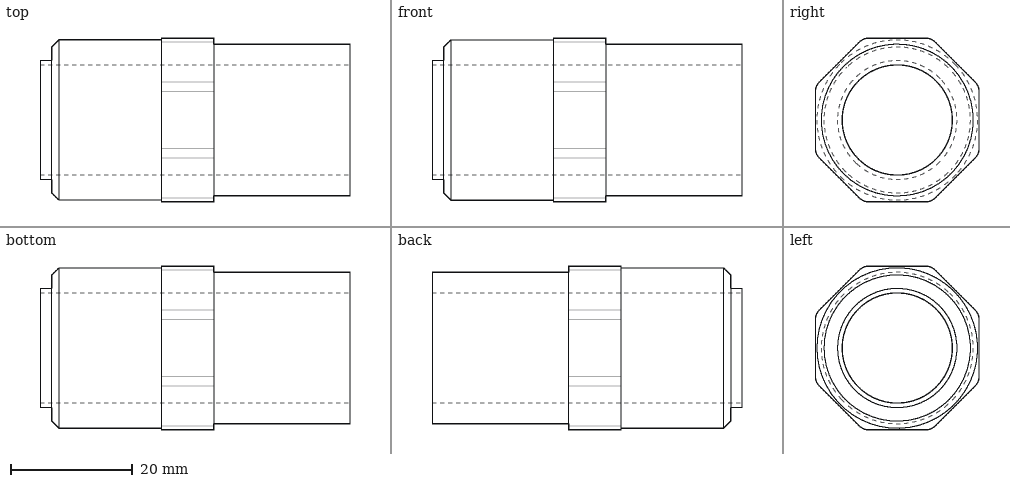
import cadquery as cq
import math

total_length = 51.0
lip_length = 1.9
body_length = 18.05
collar_length = 8.6
collar_start = lip_length + body_length
collar_end = collar_start + collar_length

bore_diameter = 18.1
lip_diameter = 19.65
body_diameter = 26.4
spigot_diameter = 25.0

collar_sides = 8
collar_across_flats = 27.0
collar_corner_radius = 2.15

body_chamfer = 1.15


def cylinder(diameter, start, end):
    """Solid cylinder on the X axis between two stations."""
    return cq.Workplane("YZ", origin=(start, 0, 0)).circle(diameter / 2).extrude(end - start)


def wrench_collar():
    """Octagonal prism with flats facing Y and Z and rounded corners."""
    half_corner_angle = math.pi / collar_sides
    across_corners = collar_across_flats / math.cos(half_corner_angle)
    return (
        cq.Workplane("YZ", origin=(collar_start, 0, 0))
        .transformed(rotate=(0, 0, math.degrees(half_corner_angle)))
        .polygon(collar_sides, across_corners)
        .extrude(collar_length)
        .edges("|X")
        .fillet(collar_corner_radius)
    )


lip = cylinder(lip_diameter, 0, lip_length)
body = cylinder(body_diameter, lip_length, collar_start).faces("<X").chamfer(body_chamfer)
spigot = cylinder(spigot_diameter, collar_end, total_length)
bore = cylinder(bore_diameter, 0, total_length)

result = lip.union(body).union(wrench_collar()).union(spigot).cut(bore)